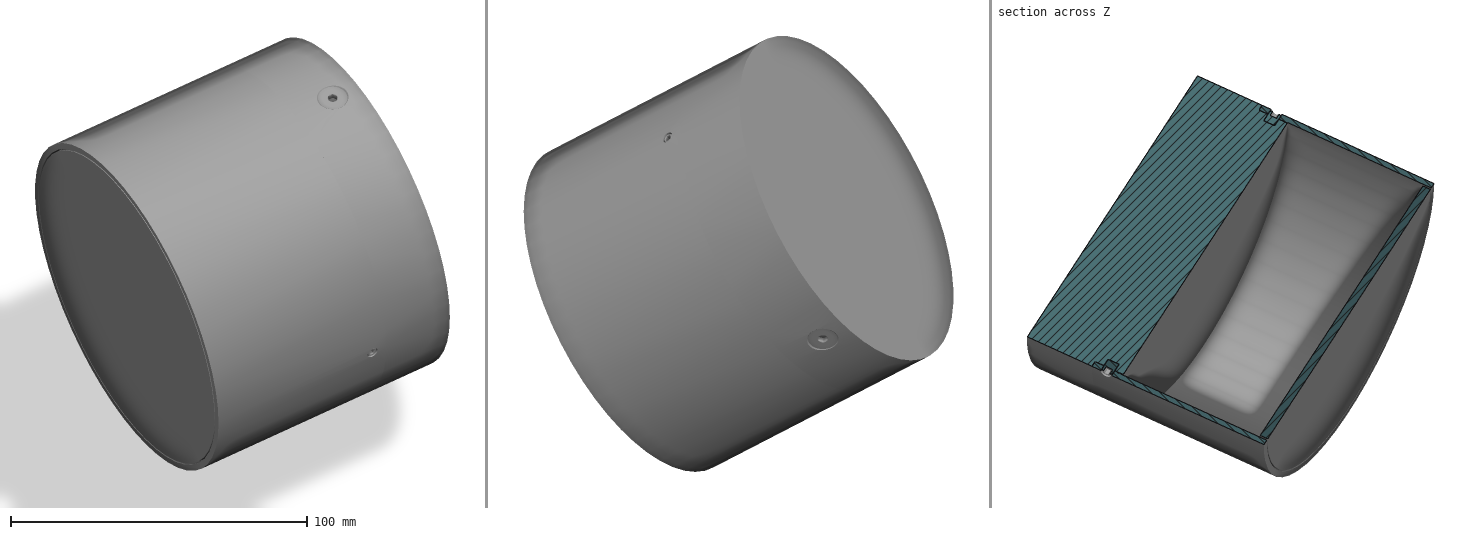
import cadquery as cq
import math

outer_diameter = 120.3
total_length = 91.0
base_length = 25.0
outer_radius = outer_diameter / 2
shell_length = total_length - base_length

wall = 2.2
cover_gap = 0.5
cover_thickness = 3.0
bore_radius = outer_radius - wall
cover_radius = bore_radius - cover_gap

spigot_length = 10.8

head_diameter = 10.0
shank_diameter = 5.0
head_screw_length = 10.0
head_recess = 0.42
head_screw_from_back = 10.0
head_socket_width = 3.0
head_socket_depth = 1.9
head_height = (head_diameter - shank_diameter) / 2
head_face_radius = outer_radius - head_recess
head_screw_y = -head_screw_from_back
head_screw_directions = [cq.Vector(0, 0, 1), cq.Vector(0, 0, -1)]

set_screw_diameter = 4.0
set_screw_length = 4.8
set_screw_recess = 0.4
set_screw_chamfer = 0.5
set_screw_from_joint = 5.4
set_socket_width = 2.0
set_socket_depth = 1.9
set_face_radius = outer_radius - set_screw_recess
set_screw_y = -base_length - set_screw_from_joint
set_screw_directions = [cq.Vector(-1, 0, 0), cq.Vector(1, 0, 0)]

cutter_overrun = 1.2


def cylinder_along_y(radius, start, length):
    """Cylinder on the Y axis from Y = start toward -Y."""
    plane = cq.Plane((0, start, 0), xDir=(1, 0, 0), normal=(0, -1, 0))
    return cq.Workplane(plane).circle(radius).extrude(length)


def radial_plane(y, direction, distance):
    """Workplane facing outward along direction, at the given distance from the Y axis."""
    origin = direction * distance + cq.Vector(0, y, 0)
    return cq.Workplane(cq.Plane(origin, xDir=(0, 1, 0), normal=direction))


def revolved_about_normal(face, outline):
    """Turn an outline of (radius, height) points about the normal of a workplane."""
    plane = face.plane
    section = cq.Plane(plane.origin, xDir=plane.xDir, normal=plane.xDir.cross(plane.zDir))
    return cq.Workplane(section).polyline(outline).close().revolve(360, (0, 0), (0, 1))


def cut_hex_socket(screw, face, width, depth):
    """Cut a hexagon socket whose rim is countersunk out to the hexagon's corners."""
    corner_radius = width / math.sqrt(3)
    screw = screw.cut(face.polygon(6, 2 * corner_radius).extrude(-depth))
    rim = revolved_about_normal(face, [(0, 0), (corner_radius, 0), (0, -corner_radius)])
    return screw.cut(rim)


def head_screw_face(direction):
    return radial_plane(head_screw_y, direction, head_face_radius)


def make_head_screw(direction):
    head_radius = head_diameter / 2
    shank_radius = shank_diameter / 2
    face = head_screw_face(direction)
    outline = [
        (0, 0),
        (head_radius, 0),
        (shank_radius, -head_height),
        (shank_radius, -head_screw_length),
        (0, -head_screw_length),
    ]
    screw = revolved_about_normal(face, outline)
    return cut_hex_socket(screw, face, head_socket_width, head_socket_depth)


def head_screw_hole(direction):
    """Countersunk blind hole; its cone runs on past the screw head to the outer surface."""
    shank_radius = shank_diameter / 2
    top = head_recess + cutter_overrun
    outline = [
        (0, top),
        (head_diameter / 2 + top, top),
        (shank_radius, -head_height),
        (shank_radius, -head_screw_length),
        (0, -head_screw_length),
    ]
    return revolved_about_normal(head_screw_face(direction), outline)


def set_screw_face(direction):
    return radial_plane(set_screw_y, direction, set_face_radius)


def make_set_screw(direction):
    face = set_screw_face(direction)
    screw = face.circle(set_screw_diameter / 2).extrude(-set_screw_length)
    outer_end = cq.selectors.DirectionMinMaxSelector(direction)
    screw = screw.faces(outer_end).edges().chamfer(set_screw_chamfer)
    return cut_hex_socket(screw, face, set_socket_width, set_socket_depth)


def set_screw_hole(direction):
    """Straight hole from the outer surface, through the shell wall and into the spigot."""
    start = radial_plane(set_screw_y, direction, outer_radius + cutter_overrun)
    depth = cutter_overrun + set_screw_recess + set_screw_length
    return start.circle(set_screw_diameter / 2).extrude(-depth)


def make_base():
    base = cylinder_along_y(outer_radius, 0, base_length)
    base = base.union(cylinder_along_y(bore_radius, -base_length, spigot_length))
    for direction in head_screw_directions:
        base = base.cut(head_screw_hole(direction))
    for direction in set_screw_directions:
        base = base.cut(set_screw_hole(direction))
    return base


def make_shell():
    shell = cylinder_along_y(outer_radius, -base_length, shell_length)
    shell = shell.cut(cylinder_along_y(bore_radius, -base_length, shell_length))
    for direction in set_screw_directions:
        shell = shell.cut(set_screw_hole(direction))
    return shell


def make_cover():
    """Disc flush with the front end of the shell."""
    return cylinder_along_y(cover_radius, cover_thickness - total_length, cover_thickness)


base = make_base()
shell = make_shell()
cover = make_cover()
head_screws = [make_head_screw(direction).val() for direction in head_screw_directions]
set_screws = [make_set_screw(direction).val() for direction in set_screw_directions]

result = cq.Compound.makeCompound([base.val(), shell.val(), cover.val(), *head_screws, *set_screws])